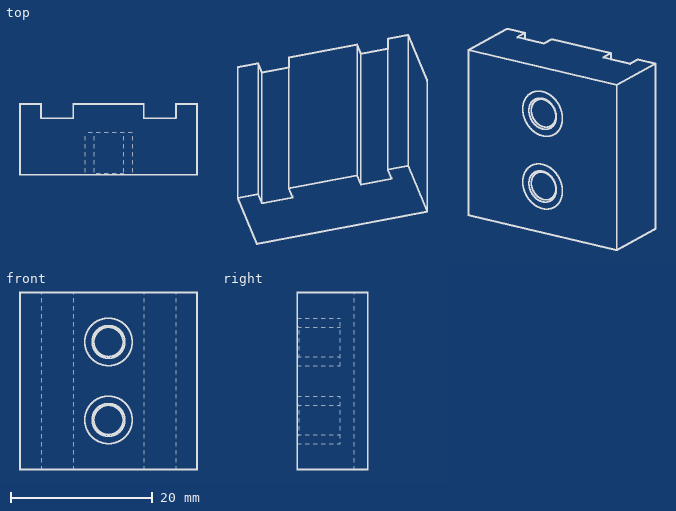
import cadquery as cq

side = 25.0
thickness = 10.0

slot_width = 4.5
slot_depth = 2.0
slot_pitch = 14.5

bushing_diameter = 6.7
bore_diameter = 4.12
bore_chamfer = 0.25
bushing_length = 6.0
bushing_pitch = 11.0

bushing_heights = [-bushing_pitch / 2, bushing_pitch / 2]


def front_cylinder(diameter, length, height):
    """Cylinder from the front face into the block, centred at the given Z."""
    return (
        cq.Workplane("XZ", origin=(0, 0, height))
        .circle(diameter / 2)
        .extrude(-length)
    )


def make_housing():
    """Square block with back slots and one blind pocket per bushing."""
    housing = cq.Workplane("XY").box(side, thickness, side, centered=(True, False, True))
    for slot_x in (-slot_pitch / 2, slot_pitch / 2):
        slot = (
            cq.Workplane("XY")
            .box(slot_width, slot_depth, side, centered=(True, False, True))
            .translate((slot_x, thickness - slot_depth, 0))
        )
        housing = housing.cut(slot)
    for height in bushing_heights:
        housing = housing.cut(front_cylinder(bushing_diameter, bushing_length, height))
    return housing


def make_bushing(height):
    """Sleeve with a through bore, chamfered at its front mouth."""
    sleeve = front_cylinder(bushing_diameter, bushing_length, height)
    sleeve = sleeve.cut(front_cylinder(bore_diameter, bushing_length, height))
    bore_mouth = sleeve.faces("<Y").edges(cq.selectors.RadiusNthSelector(0))
    return bore_mouth.chamfer(bore_chamfer)


housing = make_housing()
bushings = [make_bushing(height) for height in bushing_heights]

result = cq.Compound.makeCompound([housing.val(), *[bushing.val() for bushing in bushings]])